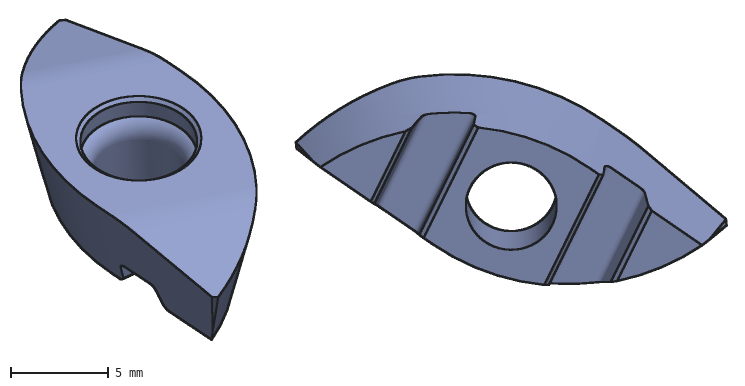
import cadquery as cq
import math

height = 5.5
draft = 12.0
arc_radius = 13.07
tangent_x = 1.8
tangent_y = -5.26
edge_tilt = 2.8

tip_flat_heading = 135.0
tip_flat_top = 11.12
tip_flat_bottom = 9.55

bevel_direction = 148.0
bevel_start = 5.28
bevel_angle = 15.0
bevel_blend_radius = 5.12
cutter_reach = 14.05

bore_diameter = 4.65
head_diameter = 5.98
rim_diameter = 6.43
rim_depth = 0.2
head_depth = 1.2
seat_radius = 1.1

slot_tilt = 13.0
slot_inner = 3.57
slot_floor_width = 2.4
slot_depth = 1.45
slot_wall_slope = 18.0
slot_mouth_chamfer = 0.25
slot_corner_radius = 0.36
slot_length = 24.1


def polar(radius, angle):
    return (radius * math.cos(math.radians(angle)), radius * math.sin(math.radians(angle)))


def with_opposite(shape):
    """Join a shape with its copy turned half a turn about Z."""
    return shape.union(shape.rotate((0, 0, 0), (0, 0, 1), 180))


def make_body():
    lean = math.radians(edge_tilt)
    center_x = tangent_x + arc_radius * math.sin(lean)
    center_y = tangent_y + arc_radius * math.cos(lean)

    to_start_x = -tangent_x - center_x
    to_start_y = -tangent_y - center_y
    along = -to_start_x * math.cos(lean) + to_start_y * math.sin(lean)
    start_distance_squared = to_start_x**2 + to_start_y**2
    edge_length = -along + math.sqrt(along**2 + arc_radius**2 - start_distance_squared)
    tip_x = -tangent_x - edge_length * math.cos(lean)
    tip_y = -tangent_y + edge_length * math.sin(lean)

    tip_angle = math.degrees(math.atan2(tip_y - center_y, tip_x - center_x)) % 360
    tangent_angle = 270 - edge_tilt
    mid_x, mid_y = polar(arc_radius, (tip_angle + tangent_angle) / 2)
    mid_x += center_x
    mid_y += center_y

    return (
        cq.Workplane("XY", origin=(0, 0, height))
        .moveTo(tip_x, tip_y)
        .threePointArc((mid_x, mid_y), (tangent_x, tangent_y))
        .lineTo(-tip_x, -tip_y)
        .threePointArc((-mid_x, -mid_y), (-tangent_x, -tangent_y))
        .close()
        .extrude(-height, taper=draft)
    )


def make_tip_cutter():
    """Everything beyond the leaning flats at the two tips."""
    cutter = (
        cq.Workplane("XZ")
        .moveTo(tip_flat_bottom, 0)
        .lineTo(tip_flat_top, height)
        .lineTo(cutter_reach, height)
        .lineTo(cutter_reach, 0)
        .close()
        .extrude(cutter_reach, both=True)
    )
    return with_opposite(cutter.rotate((0, 0, 0), (0, 0, 1), tip_flat_heading))


def make_bevel_cutter():
    """Everything above a sloping plane that blends tangentially into the flat top."""
    slope = math.radians(bevel_angle)
    half_slope = slope / 2
    blend_mid = (
        bevel_start + bevel_blend_radius * math.sin(half_slope),
        height - bevel_blend_radius * (1 - math.cos(half_slope)),
    )
    blend_end = (
        bevel_start + bevel_blend_radius * math.sin(slope),
        height - bevel_blend_radius * (1 - math.cos(slope)),
    )
    outer_z = blend_end[1] - (cutter_reach - blend_end[0]) * math.tan(slope)
    cutter = (
        cq.Workplane("XZ")
        .moveTo(bevel_start, height)
        .threePointArc(blend_mid, blend_end)
        .lineTo(cutter_reach, outer_z)
        .lineTo(cutter_reach, height)
        .close()
        .extrude(cutter_reach, both=True)
    )
    return with_opposite(cutter.rotate((0, 0, 0), (0, 0, 1), bevel_direction))


def make_screw_hole():
    """Through bore, rounded screw seat, head recess and countersunk rim."""
    bore = bore_diameter / 2
    head = head_diameter / 2
    seat_center_r = bore + seat_radius
    seat_angle = math.acos((seat_center_r - head) / seat_radius)
    seat_bottom = height - head_depth - seat_radius * math.sin(seat_angle)
    seat_mid = (
        seat_center_r - seat_radius * math.cos(seat_angle / 2),
        seat_bottom + seat_radius * math.sin(seat_angle / 2),
    )
    return (
        cq.Workplane("XZ")
        .lineTo(bore, 0)
        .lineTo(bore, seat_bottom)
        .threePointArc(seat_mid, (head, height - head_depth))
        .lineTo(head, height - rim_depth)
        .lineTo(rim_diameter / 2, height)
        .lineTo(0, height)
        .close()
        .revolve(360, (0, 0, 0), (0, 1, 0))
    )


def make_slots():
    """Slots with an upright inner wall, a flared outer wall and a widened mouth."""
    floor_outer = slot_inner + slot_floor_width
    flare = math.tan(math.radians(slot_wall_slope))
    mouth_outer = floor_outer + (slot_depth - slot_mouth_chamfer) * flare
    slot = (
        cq.Workplane("XZ")
        .moveTo(slot_inner - slot_mouth_chamfer, 0)
        .lineTo(slot_inner, slot_mouth_chamfer)
        .lineTo(slot_inner, slot_depth)
        .lineTo(floor_outer, slot_depth)
        .lineTo(mouth_outer, slot_mouth_chamfer)
        .lineTo(mouth_outer + slot_mouth_chamfer, 0)
        .close()
        .extrude(slot_length / 2, both=True)
        .faces(">Z")
        .edges("|Y")
        .fillet(slot_corner_radius)
    )
    return with_opposite(slot.rotate((0, 0, 0), (0, 0, 1), -slot_tilt))


result = (
    make_body()
    .cut(make_tip_cutter())
    .cut(make_bevel_cutter())
    .cut(make_screw_hole())
    .cut(make_slots())
)